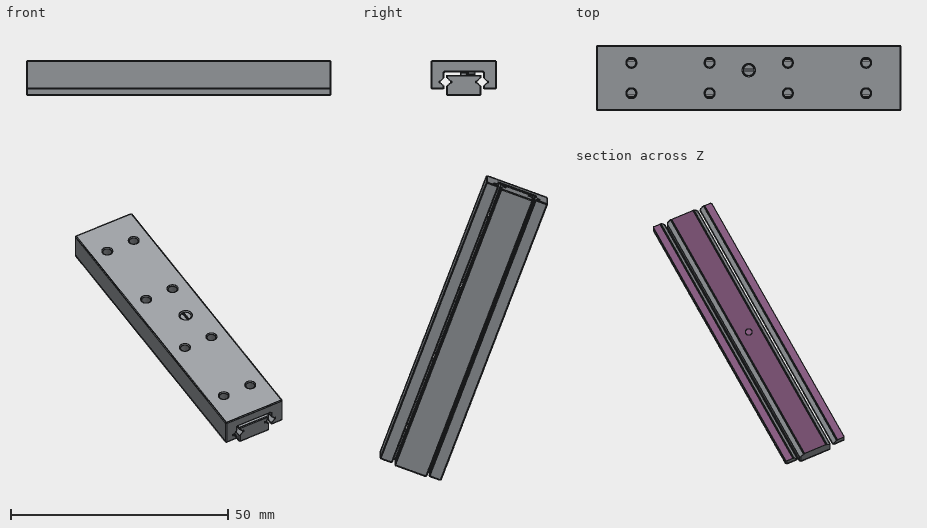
import cadquery as cq

LENGTH = 70.0
WIDTH = 15.0
HEIGHT = 8.0
EDGE_CHAMFER = 0.2

CARRIAGE_BOTTOM = 1.5
CHANNEL_WIDTH = 9.0
CHANNEL_CEILING = 5.4

RAIL_WIDTH = 7.85
RAIL_TOP = 4.6

TRACK_HEIGHT = 3.1
TRACK_DEPTH = 1.05
RELIEF_WIDTH = 0.3
RELIEF_OVERRUN = 0.105

MOUNT_COLUMNS = 4
MOUNT_ROWS = 2
MOUNT_PITCH_X = 18.0
MOUNT_PITCH_Y = 7.0
MOUNT_DIAMETER = 2.0
MOUNT_RIM_DIAMETER = 2.5

SCREW_Y = 1.8
SCREW_DIAMETER = 2.5
SCREW_RIM_DIAMETER = 3.1
SCREW_TIP_DIAMETER = 1.6
SCREW_TIP_BOTTOM = 4.8
SCREW_SLOT_WIDTH = 0.4
SCREW_SLOT_DEPTH = 0.55

PIN_DIAMETER = 1.5
PIN_TOP = 5.2
PIN_SEAT_DEPTH = 2.0


def bar(width, bottom, top):
    """Rectangular bar over the full length, centred on the X axis in plan."""
    block = cq.Workplane("XY").box(LENGTH, width, top - bottom, centered=(True, True, False))
    return block.translate((0, 0, bottom))


def cylinder(diameter, y, bottom, top):
    """Upright cylinder on the plane X = 0."""
    return cq.Workplane("XY", origin=(0, y, bottom)).circle(diameter / 2).extrude(top - bottom)


def roller_tracks(face_y, direction):
    """Cutters for the V tracks of both sides, sunk from Y = +/-face_y toward `direction`."""
    apex_y = face_y + direction * TRACK_DEPTH
    relief_y = apex_y + direction * RELIEF_OVERRUN
    profile = (
        cq.Workplane("YZ", origin=(-LENGTH / 2, 0, 0))
        .moveTo(face_y, TRACK_HEIGHT - TRACK_DEPTH)
        .lineTo(apex_y, TRACK_HEIGHT)
        .lineTo(face_y, TRACK_HEIGHT + TRACK_DEPTH)
        .close()
        .extrude(LENGTH)
    )
    relief = (
        cq.Workplane("YZ", origin=(-LENGTH / 2, (face_y + relief_y) / 2, TRACK_HEIGHT))
        .rect(TRACK_DEPTH + RELIEF_OVERRUN, RELIEF_WIDTH)
        .extrude(LENGTH)
    )
    track = profile.union(relief)
    return track.union(track.mirror("XZ"))


def countersunk_hole(diameter, rim_diameter, bottom):
    """Cutter on the Z axis, down from the carriage top, with a 45-degree rim chamfer."""
    radius = diameter / 2
    rim_radius = rim_diameter / 2
    return (
        cq.Workplane("XZ")
        .moveTo(0, bottom)
        .lineTo(radius, bottom)
        .lineTo(radius, HEIGHT - (rim_radius - radius))
        .lineTo(rim_radius, HEIGHT)
        .lineTo(0, HEIGHT)
        .close()
        .revolve(360, (0, 0, 0), (0, 1, 0))
    )


def screw_head_top():
    """Z of the screw top, at the foot of its rim chamfer."""
    return HEIGHT - (SCREW_RIM_DIAMETER - SCREW_DIAMETER) / 2


def make_carriage():
    body = bar(WIDTH, CARRIAGE_BOTTOM, HEIGHT)
    body = body.cut(bar(CHANNEL_WIDTH, CARRIAGE_BOTTOM, CHANNEL_CEILING))
    body = body.edges("|X").chamfer(EDGE_CHAMFER)
    body = body.faces("<X or >X").edges().chamfer(EDGE_CHAMFER)
    body = body.cut(roller_tracks(CHANNEL_WIDTH / 2, 1))

    mount_hole = countersunk_hole(MOUNT_DIAMETER, MOUNT_RIM_DIAMETER, CHANNEL_CEILING)
    for column in range(MOUNT_COLUMNS):
        for row in range(MOUNT_ROWS):
            x = (column - (MOUNT_COLUMNS - 1) / 2) * MOUNT_PITCH_X
            y = (row - (MOUNT_ROWS - 1) / 2) * MOUNT_PITCH_Y
            body = body.cut(mount_hole.translate((x, y, 0)))

    screw_hole = countersunk_hole(SCREW_DIAMETER, SCREW_RIM_DIAMETER, CHANNEL_CEILING)
    return body.cut(screw_hole.translate((0, SCREW_Y, 0)))


def make_rail():
    body = bar(RAIL_WIDTH, 0, RAIL_TOP).edges("|X and <Z").chamfer(EDGE_CHAMFER)
    body = body.faces("<X or >X").edges().chamfer(EDGE_CHAMFER)
    body = body.cut(roller_tracks(RAIL_WIDTH / 2, -1))
    return body.cut(cylinder(PIN_DIAMETER, 0, RAIL_TOP - PIN_SEAT_DEPTH, RAIL_TOP))


def make_stop_screw():
    top = screw_head_top()
    shank = cylinder(SCREW_DIAMETER, SCREW_Y, CHANNEL_CEILING, top)
    tip = cylinder(SCREW_TIP_DIAMETER, SCREW_Y, SCREW_TIP_BOTTOM, CHANNEL_CEILING)
    slot = (
        cq.Workplane("XY", origin=(0, SCREW_Y, top))
        .rect(SCREW_DIAMETER, SCREW_SLOT_WIDTH)
        .extrude(-SCREW_SLOT_DEPTH)
    )
    return shank.union(tip).cut(slot)


def make_stop_pin():
    return cylinder(PIN_DIAMETER, 0, RAIL_TOP - PIN_SEAT_DEPTH, PIN_TOP)


carriage = make_carriage()
rail = make_rail()
stop_screw = make_stop_screw()
stop_pin = make_stop_pin()

result = cq.Compound.makeCompound([carriage.val(), rail.val(), stop_screw.val(), stop_pin.val()])